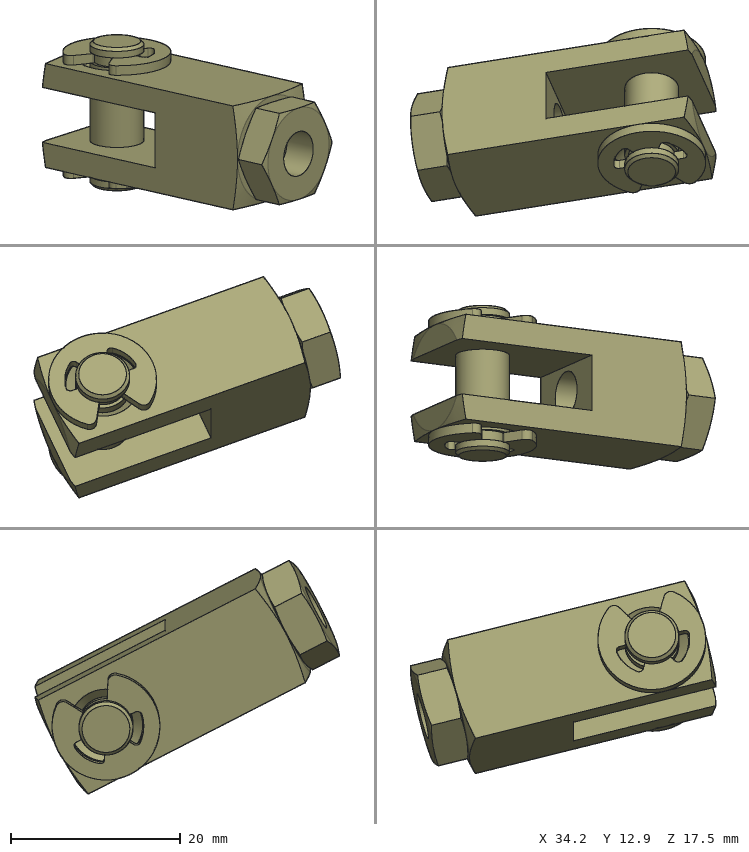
import cadquery as cq
import math

total_length = 34.25
fork_length = 30.2
fork_size = 12.7
fork_half = fork_size / 2
end_chamfer_angle = 15.0

slot_height = 6.7
slot_depth = 17.53

pin_diameter = 6.37
pin_length = 17.53
pin_chamfer = 0.38
pin_x = fork_half
groove_diameter = 5.48
groove_width = 1.23
countersink_diameter = 8.63

clip_diameter = 12.7
clip_thickness = 1.15
clip_opening_angle = 60.0
clip_tip_fillet = 0.85
clip_jaw_fillet = 0.27
window_diameter = 8.9
window_start_angle = 0.0
window_end_angle = 60.0
window_fillet = 0.5

rod_bore_diameter = 5.4

nut_corner_width = 12.9
nut_flat_width = nut_corner_width * math.cos(math.pi / 6)
nut_thickness = total_length - fork_length

pin_radius = pin_diameter / 2
clip_radius = clip_diameter / 2
groove_radius = groove_diameter / 2


def polar(radius, degrees):
    """Point in a plane at the given radius and angle from the first axis."""
    angle = math.radians(degrees)
    return (radius * math.cos(angle), radius * math.sin(angle))


def turned_blank(start_x, length, face_radius):
    """Solid of revolution about X: flat end faces of face_radius, then shallow conical flanks."""
    reach = 2 * face_radius
    cone_length = (reach - face_radius) * math.tan(math.radians(end_chamfer_angle))
    profile = [
        (start_x, 0),
        (start_x, face_radius),
        (start_x + cone_length, reach),
        (start_x + length - cone_length, reach),
        (start_x + length, face_radius),
        (start_x + length, 0),
    ]
    return cq.Workplane("XY").polyline(profile).close().revolve(360, (0, 0, 0), (1, 0, 0))


def rod_bore(start_x, end_x):
    return cq.Workplane("YZ", origin=(start_x, 0, 0)).circle(rod_bore_diameter / 2).extrude(end_x - start_x)


def pin_hole():
    """Hole along Z with a 45 degree countersink at each outer face of the fork."""
    mouth_radius = countersink_diameter / 2
    cone_end = fork_half - (mouth_radius - pin_radius)
    profile = [
        (0, -fork_half),
        (mouth_radius, -fork_half),
        (pin_radius, -cone_end),
        (pin_radius, cone_end),
        (mouth_radius, fork_half),
        (0, fork_half),
    ]
    hole = cq.Workplane("XZ").polyline(profile).close().revolve(360, (0, 0, 0), (0, 1, 0))
    return hole.translate((pin_x, 0, 0))


def make_fork():
    """Square bar with turned ends, slotted for the clevis and bored for the pin and the rod."""
    block = cq.Workplane("XY").box(fork_length, fork_size, fork_size, centered=(False, True, True))
    slot = cq.Workplane("XY").box(slot_depth, fork_size, slot_height, centered=(False, True, True))
    body = block.intersect(turned_blank(0, fork_length, fork_half))
    return body.cut(slot).cut(pin_hole()).cut(rod_bore(slot_depth, fork_length))


def make_nut():
    """Hexagon with both end faces chamfered down to the flats."""
    hexagon = (
        cq.Workplane("YZ", origin=(fork_length, 0, 0))
        .polygon(6, nut_corner_width)
        .extrude(nut_thickness)
    )
    body = hexagon.intersect(turned_blank(fork_length, nut_thickness, nut_flat_width / 2))
    return body.cut(rod_bore(fork_length, total_length))


def make_pin():
    """Pin with chamfered ends and one groove per clip."""
    body = cq.Workplane("XY").circle(pin_radius).extrude(pin_length / 2, both=True)
    body = body.faces("|Z").chamfer(pin_chamfer)
    for groove_bottom in (fork_half, -fork_half - groove_width):
        groove = (
            cq.Workplane("XY", origin=(0, 0, groove_bottom))
            .circle(pin_radius)
            .circle(groove_radius)
            .extrude(groove_width)
        )
        body = body.cut(groove)
    return body.translate((pin_x, 0, 0))


def sector(radius, start_angle, end_angle):
    """Pie-shaped block as thick as a clip, with its point on the Z axis."""
    return (
        cq.Workplane("XY")
        .moveTo(0, 0)
        .lineTo(*polar(radius, start_angle))
        .threePointArc(polar(radius, (start_angle + end_angle) / 2), polar(radius, end_angle))
        .close()
        .extrude(clip_thickness)
    )


def clip_window():
    """Opening beside the pin, rounded at its two outer corners."""
    window = sector(window_diameter / 2, window_start_angle, window_end_angle)
    return window.edges("|Z").edges(">X or >Y").fillet(window_fillet)


def jaw_corners(half_opening):
    """Selector for the two upright edges where the mouth sides meet the bore."""
    margin = 0.17
    right_x, corner_y = polar(groove_radius, -90 + half_opening)
    return cq.selectors.BoxSelector(
        (-right_x - margin, corner_y - margin, 0),
        (right_x + margin, corner_y + margin, clip_thickness),
    )


def make_clip(bottom_z):
    """Ring that sits in a pin groove, with a mouth toward -Y and two windows."""
    half_opening = clip_opening_angle / 2
    ring = cq.Workplane("XY").circle(clip_radius).circle(groove_radius).extrude(clip_thickness)
    body = ring.cut(sector(2 * clip_radius, -90 - half_opening, -90 + half_opening))
    body = body.edges("|Z and <Y").fillet(clip_tip_fillet)
    body = body.edges(jaw_corners(half_opening)).fillet(clip_jaw_fillet)
    window = clip_window()
    body = body.cut(window).cut(window.mirror("YZ"))
    return body.translate((pin_x, 0, bottom_z))


fork = make_fork()
nut = make_nut()
pin = make_pin()
clips = [make_clip(bottom_z) for bottom_z in (fork_half, -fork_half - clip_thickness)]

result = cq.Compound.makeCompound(
    [fork.val(), nut.val(), pin.val(), *[clip.val() for clip in clips]]
)